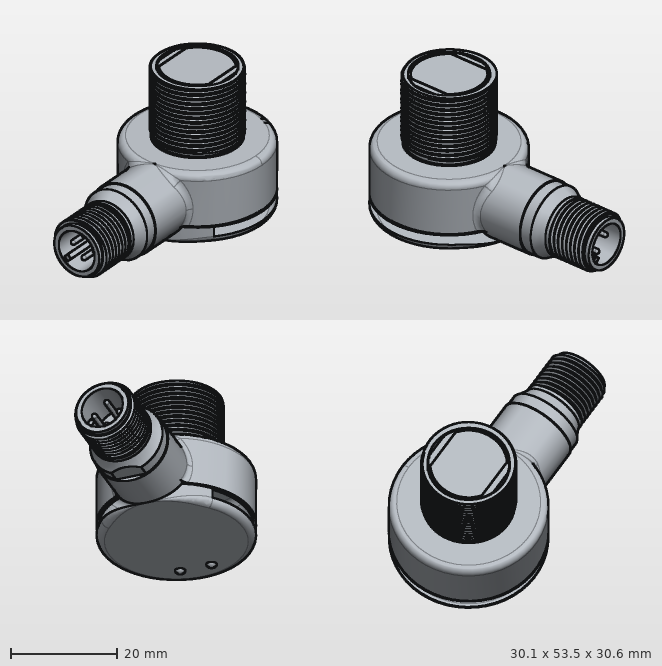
import cadquery as cq
import math


head_radius = 15.025
head_height = 15.05
edge_radius = 1.5
lid_height = 3.55
seam_height = 0.3
seam_depth = 0.5
fade_start_y = -10.0
faded_edge_radius = 0.05

tube_radius = 7.5
axis_height = head_height - tube_radius
tube_end = 23.5
tube_blend_radius = 1.5

dome_radius = 1.0
dome_height = 0.64
dome_half_spacing = 3.15
dome_y = 10.15

thread_pitch = 1.0
thread_phase = 0.12
ridge_root_width = 0.9
ridge_overlap = 0.05

barrel_top = 30.0
barrel_core_radius = 8.65
barrel_thread_radius = 9.0
barrel_thread_start = 16.05
foot_radius = 8.8
foot_height = 0.25

seat_radius = 7.75
seat_depth = 2.0
lens_radius = 7.6
lens_half_width = 7.2
plateau_radius = 7.2
plateau_half_width = 5.8
plateau_height = 0.1

shoulder_radius = 7.3
shoulder_end = 26.0
shoulder_flat = 6.65
taper_end = 28.5
taper_sag = 0.1
collar_end = 29.45
plug_thread_radius = 6.0
plug_core_radius = 5.4
plug_thread_end = 37.5
spigot_radius = 5.25
plug_end = 38.475
socket_radius = 4.15
socket_depth = 8.5
pin_radius = 0.5
pin_setback = 1.9
pin_circle_radius = 2.5
pin_count = 4
key_side = 1.1
key_inner_distance = 2.9
key_angle = 225
key_setback = 0.5


def disc(radius, bottom, top):
    """Upright cylinder on the Z axis between two heights."""
    return cq.Workplane("XY").workplane(offset=bottom).circle(radius).extrude(top - bottom)


def threaded_rod(core_radius, crest_radius, bottom, top):
    """Rod on the Z axis with a right-hand V ridge wound around it, cut flat at both ends."""
    first_crest = math.floor(bottom) - thread_pitch + thread_phase
    length = top - first_crest + thread_pitch
    root_radius = core_radius - ridge_overlap
    helix = cq.Wire.makeHelix(thread_pitch, length, root_radius)
    ridge = (
        cq.Workplane("XZ")
        .moveTo(root_radius, -ridge_root_width / 2)
        .lineTo(root_radius, ridge_root_width / 2)
        .lineTo(crest_radius, 0)
        .close()
        .sweep(cq.Workplane(helix), isFrenet=True)
        .translate((0, 0, first_crest))
    )
    core = disc(core_radius, first_crest - 2 * thread_pitch, top + 4 * thread_pitch)
    return core.union(ridge).intersect(disc(2 * crest_radius, bottom, top))


def flatted_disc(radius, half_width, bottom, top):
    """Disc with two flats that face -X and +X."""
    slab = cq.Workplane("XY").box(2 * half_width, 2 * radius, 2 * top)
    return disc(radius, bottom, top).intersect(slab)


def make_lid():
    """Lower part of the head; its bottom rounding fades out at the tube."""
    fade_x = math.sqrt(head_radius**2 - fade_start_y**2)
    side_x = head_radius * math.sin(math.atan2(fade_x, -fade_start_y) / 2)
    side_y = -math.sqrt(head_radius**2 - side_x**2)
    lid = (
        cq.Workplane("XY")
        .moveTo(-fade_x, fade_start_y)
        .threePointArc((0, head_radius), (fade_x, fade_start_y))
        .threePointArc((side_x, side_y), (0, -head_radius))
        .threePointArc((-side_x, side_y), (-fade_x, fade_start_y))
        .close()
        .extrude(lid_height, clean=False)
    )
    rounding = cq.occ_impl.shapes.BRepFilletAPI_MakeFillet(lid.val().wrapped)
    rounding.Add(edge_radius, lid.faces("<Z").edges(">Y").val().wrapped)
    for corner in lid.faces("<Z").vertices().vals():
        corner_radius = edge_radius if corner.Y > fade_start_y - 1 else faded_edge_radius
        rounding.SetRadius(corner_radius, 1, corner.wrapped)
    return cq.Workplane(cq.Shape.cast(rounding.Shape()))


def make_dome(x):
    """Shallow spherical dome under the head."""
    sphere_radius = (dome_radius**2 + dome_height**2) / (2 * dome_height)
    ball = cq.Workplane("XY").sphere(sphere_radius).translate((x, dome_y, sphere_radius - dome_height))
    return ball.intersect(disc(2 * head_radius, -dome_height, seam_height))


def make_head():
    """Round head with its seam groove, and the tube blended into its upper part."""
    seam_top = lid_height + seam_height
    tube = cq.Workplane("XZ").center(0, axis_height).circle(tube_radius).extrude(tube_end)
    upper = disc(head_radius, seam_top, head_height).faces(">Z").edges().fillet(edge_radius)
    head = upper.union(tube)
    head = head.edges("not(%LINE or %CIRCLE)").fillet(tube_blend_radius)
    seam_core = disc(head_radius - seam_depth, edge_radius, seam_top)
    return head.union(seam_core).union(make_lid())


def make_housing():
    """Head with the threaded barrel on top and the indicator domes below."""
    thread = threaded_rod(barrel_core_radius, barrel_thread_radius, barrel_thread_start, barrel_top)
    seat = disc(seat_radius, barrel_top - seat_depth, barrel_top)
    neck = disc(barrel_core_radius, axis_height, barrel_thread_start)
    foot_taper = math.degrees(math.atan2(foot_radius - barrel_core_radius, foot_height))
    foot = (
        cq.Workplane("XY")
        .workplane(offset=head_height)
        .circle(foot_radius)
        .extrude(foot_height, taper=foot_taper)
    )
    barrel = neck.union(foot).union(thread.cut(seat))
    housing = make_head().union(barrel)
    for side in (-1, 1):
        housing = housing.union(make_dome(side * dome_half_spacing))
    return housing


def make_lens():
    """Lens with two side flats and a raised middle that ends level with the barrel."""
    seat_floor = barrel_top - seat_depth
    base = flatted_disc(lens_radius, lens_half_width, seat_floor, barrel_top - plateau_height)
    plateau = flatted_disc(plateau_radius, plateau_half_width, seat_floor, barrel_top)
    return base.union(plateau)


def make_pin(angle):
    """Contact pin with a round tip, rising from the socket floor and ending below the mouth."""
    start = plug_end - socket_depth - ridge_overlap
    tip_center = plug_end - pin_setback - pin_radius
    pin = disc(pin_radius, start, tip_center)
    pin = pin.union(cq.Workplane("XY").sphere(pin_radius).translate((0, 0, tip_center)))
    x = pin_circle_radius * math.cos(math.radians(angle))
    y = pin_circle_radius * math.sin(math.radians(angle))
    return pin.translate((x, y, 0))


def make_key():
    """Square coding rib along the socket wall."""
    start = plug_end - socket_depth - ridge_overlap
    length = plug_end - key_setback - start
    rib = cq.Workplane("XY").box(key_side, key_side, length, centered=(False, True, False))
    return rib.translate((key_inner_distance, 0, start)).rotate((0, 0, 0), (0, 0, 1), key_angle)


def make_connector():
    """Plug connector, modelled upright on the Z axis and then turned to point along -Y."""
    taper_middle = (
        (shoulder_radius + plug_thread_radius) / 2 - taper_sag,
        (shoulder_end + taper_end) / 2,
    )
    connector = (
        cq.Workplane("XZ")
        .moveTo(0, tube_end)
        .lineTo(shoulder_radius, tube_end)
        .lineTo(shoulder_radius, shoulder_end)
        .threePointArc(taper_middle, (plug_thread_radius, taper_end))
        .lineTo(plug_thread_radius, collar_end)
        .lineTo(0, collar_end)
        .close()
        .revolve(360, (0, 0, 0), (0, 1, 0))
    )
    flat_span = 2 * shoulder_radius
    below_flat = (
        cq.Workplane("XY")
        .box(flat_span, flat_span, flat_span, centered=(True, False, False))
        .translate((0, -shoulder_flat - flat_span, tube_end))
    )
    connector = connector.cut(below_flat)
    connector = connector.union(
        threaded_rod(plug_core_radius, plug_thread_radius, collar_end, plug_thread_end)
    )
    connector = connector.union(disc(spigot_radius, plug_thread_end, plug_end))
    connector = connector.cut(disc(socket_radius, plug_end - socket_depth, plug_end))
    for index in range(pin_count):
        connector = connector.union(make_pin(index * 360 / pin_count))
    connector = connector.union(make_key())
    return connector.rotate((0, 0, 0), (1, 0, 0), 90).translate((0, 0, axis_height))


housing = make_housing()
lens = make_lens()
connector = make_connector()

result = cq.Compound.makeCompound([housing.val(), lens.val(), connector.val()])